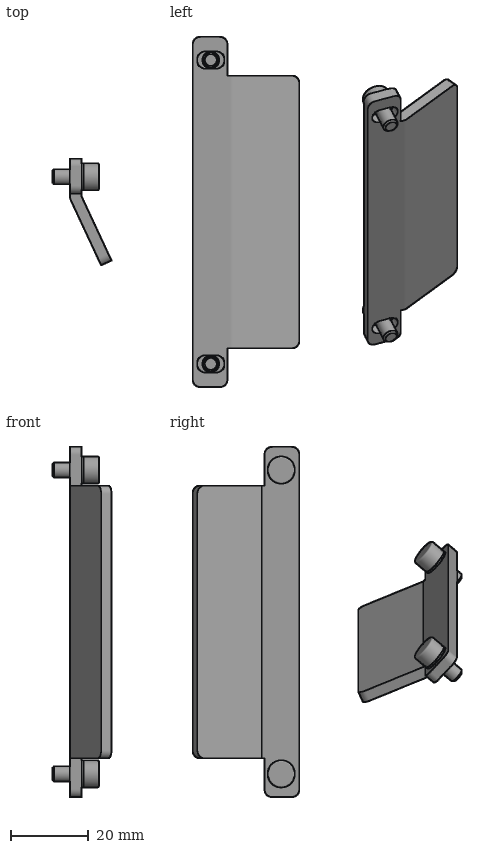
import cadquery as cq
import math

height = 90.0
thickness = 3.0
strip_width = 9.0
corner_radius = 2.0

overall_depth = 27.45
flange_height = 70.0
bend_angle = math.radians(25)
bend_radius = 2.3
bend_start = 9.6
flange_length = (
    overall_depth - bend_start - thickness * math.sin(bend_angle)
) / math.cos(bend_angle)

screw_spacing = 78.0
screw_y = -4.7
slot_length = 7.0
slot_width = 4.5
shank_diameter = 4.0
shank_protrusion = 4.5
tip_chamfer = 0.45
head_diameter = 7.0
head_height = 4.0
head_fillet = 0.45
washer_diameter = 7.0
washer_bore = 4.3
washer_thickness = 0.5

screw_heights = (-screw_spacing / 2, screw_spacing / 2)


def make_strip():
    """Flat strip with rounded corners."""
    return (
        cq.Workplane("XY")
        .box(thickness, strip_width, height, centered=(False, False, True))
        .translate((0, -strip_width, 0))
        .edges("|X")
        .fillet(corner_radius)
    )


def make_flange():
    """Bent flange of even thickness, rounded on the outside of the bend."""
    reach_x = flange_length * math.sin(bend_angle)
    reach_y = flange_length * math.cos(bend_angle)
    outer_bend_y = -bend_start - thickness * math.tan(bend_angle / 2)
    root_y = -strip_width + corner_radius
    outline = [
        (0, root_y),
        (0, outer_bend_y),
        (thickness * (1 - math.cos(bend_angle)) + reach_x, -overall_depth),
        (thickness + reach_x, -bend_start - reach_y),
        (thickness, -bend_start),
        (thickness, root_y),
    ]
    flange = (
        cq.Workplane("XY")
        .polyline(outline)
        .close()
        .extrude(flange_height / 2, both=True)
        .edges(cq.selectors.NearestToPointSelector((0, outer_bend_y, 0)))
        .fillet(bend_radius)
    )
    end_face = flange.faces(cq.selectors.DirectionMinMaxSelector(
        cq.Vector(math.sin(bend_angle), -math.cos(bend_angle), 0), True))
    return end_face.edges("not |Z").fillet(corner_radius)


def make_bracket():
    """Strip and flange in one piece, with a slot for each screw."""
    bracket = make_strip().union(make_flange())
    slots = (
        cq.Workplane("YZ")
        .pushPoints([(screw_y, z) for z in screw_heights])
        .slot2D(slot_length, slot_width)
        .extrude(thickness)
    )
    return bracket.cut(slots)


def make_washer(z):
    """Flat washer on the front face of the strip."""
    return (
        cq.Workplane("YZ", origin=(thickness, screw_y, z))
        .circle(washer_diameter / 2)
        .circle(washer_bore / 2)
        .extrude(washer_thickness)
    )


def make_screw(z):
    """Cylinder-head screw along X, its head resting on the washer."""
    head_seat = thickness + washer_thickness
    head = (
        cq.Workplane("YZ", origin=(head_seat, screw_y, z))
        .circle(head_diameter / 2)
        .extrude(head_height)
        .faces(">X")
        .edges()
        .fillet(head_fillet)
    )
    shank = (
        cq.Workplane("YZ", origin=(-shank_protrusion, screw_y, z))
        .circle(shank_diameter / 2)
        .extrude(shank_protrusion + head_seat)
        .faces("<X")
        .chamfer(tip_chamfer)
    )
    return head.union(shank)


bracket = make_bracket()
washers = [make_washer(z) for z in screw_heights]
screws = [make_screw(z) for z in screw_heights]

result = cq.Compound.makeCompound(
    [bracket.val()]
    + [washer.val() for washer in washers]
    + [screw.val() for screw in screws]
)